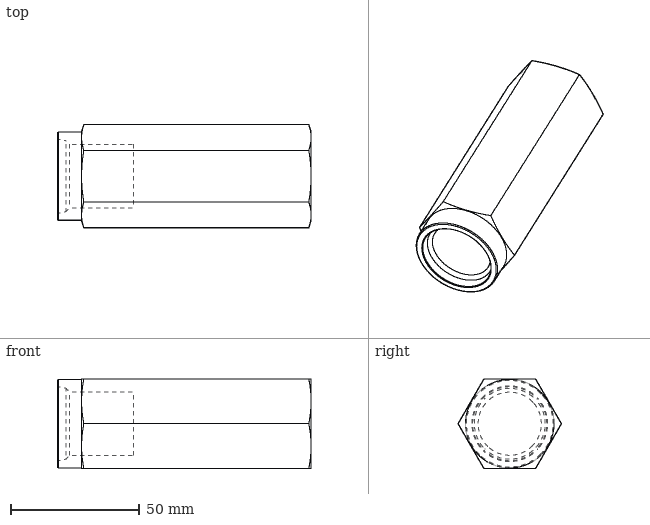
import cadquery as cq
import math

length = 99.1
hex_flats = 35.0
hex_sides = 6
hex_corners = hex_flats / math.cos(math.pi / hex_sides)

collar_length = 9.4
collar_diameter = 34.6
collar_chamfer = 0.4

corner_chamfer_angle = 18.0
corner_chamfer_diameter = collar_diameter

mouth_diameter = 29.5
mouth_chamfer = 0.3
seat_start_diameter = mouth_diameter - 2 * mouth_chamfer
seat_end_diameter = 27.6
seat_end_depth = 3.4
bore_diameter = 24.7
cone_length = (seat_end_diameter - bore_diameter) / 2
bore_depth = 29.7


def cylinder(start, end, diameter):
    """Solid cylinder along X between two positions."""
    return cq.Workplane("YZ", origin=(start, 0, 0)).circle(diameter / 2).extrude(end - start)


def revolved(points):
    """Solid turned about X from (position, radius) points."""
    return cq.Workplane("XY").polyline(points).close().revolve(360, (0, 0, 0), (1, 0, 0))


def hex_body():
    """Hexagon bar with flats facing up and down and conical corner chamfers."""
    bar = (
        cq.Workplane("YZ", origin=(collar_length, 0, 0))
        .polygon(hex_sides, hex_corners)
        .extrude(length - collar_length)
    )
    corner_radius = hex_corners / 2
    face_radius = corner_chamfer_diameter / 2
    chamfer_length = (corner_radius - face_radius) * math.tan(math.radians(corner_chamfer_angle))
    envelope = revolved([
        (collar_length, 0),
        (collar_length, face_radius),
        (collar_length + chamfer_length, corner_radius),
        (length - chamfer_length, corner_radius),
        (length, face_radius),
        (length, 0),
    ])
    return bar.intersect(envelope)


def collar():
    """Turned collar with a chamfered outer rim."""
    return cylinder(0, collar_length, collar_diameter).faces("<X").chamfer(collar_chamfer)


def port():
    """Tapered seat leading through a 45 degree cone into a narrower blind bore."""
    bore_start = seat_end_depth + cone_length
    return revolved([
        (0, 0),
        (0, mouth_diameter / 2),
        (mouth_chamfer, seat_start_diameter / 2),
        (seat_end_depth, seat_end_diameter / 2),
        (bore_start, bore_diameter / 2),
        (bore_depth, bore_diameter / 2),
        (bore_depth, 0),
    ])


result = hex_body().union(collar()).cut(port())